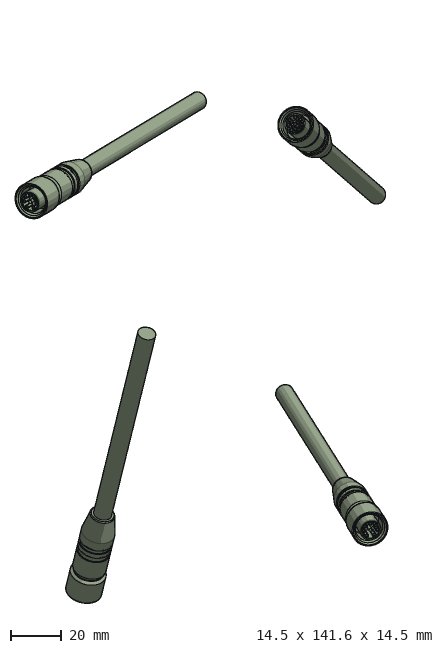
import cadquery as cq
import math

length = 141.6
front_y = -length / 2

nut_diameter = 14.5
nut_rear_diameter = 12.2
nut_front = 1.4
nut_chamfer_start = 11.3
nut_rear = 12.3
bore_mouth_diameter = 13.5
bore_lip_diameter = 12.2
bore_lip_length = 0.5
bore_diameter = 11.0
bore_taper_length = 1.5
bore_depth = 8.5

insert_diameter = 8.4
insert_bevel_length = 0.5
insert_bevel = 0.1
face_recess_diameter = 7.0
face_recess = 0.4
contact_circle_radius = 2.76
contact_hole_diameter = 1.4
centre_hole_diameter = 1.3
contact_pin_diameter = 0.9
contact_depth = 4.2
contact_recess = 0.7
contact_angles = [90, 143, 184, 237, 303, 356, 37]

grip_diameter = 13.5
groove_diameter = 12.5
grip_front = 12.9
grip_front_bevel_length = 1.3
grip_front_bevel = 0.4
grip_grooves = [(23.2, 25.5), (27.6, 29.5)]
grip_taper_start = 33.5
grip_taper_end_diameter = 9.9
grip_end_bevel = 0.4
grip_rear = 43.3
cable_diameter = 7.2


def revolve_profile(stations):
    """Revolve (station, diameter) pairs about the cable axis into a solid."""
    points = [(diameter / 2, front_y + station) for station, diameter in stations]
    points = [(0, points[0][1])] + points + [(0, points[-1][1])]
    return cq.Workplane("XY").polyline(points).close().revolve(360, (0, 0, 0), (0, 1, 0))


def cylinder(start, end, diameter, x=0.0, z=0.0):
    """Cylinder along Y between two stations."""
    plane = cq.Plane(origin=(x, front_y + start, z), xDir=(1, 0, 0), normal=(0, 1, 0))
    return cq.Workplane(plane).circle(diameter / 2).extrude(end - start)


def make_nut():
    body = revolve_profile([
        (nut_front, nut_diameter),
        (nut_chamfer_start, nut_diameter),
        (nut_rear, nut_rear_diameter),
    ])
    bore = revolve_profile([
        (nut_front, bore_mouth_diameter),
        (nut_front + bore_lip_length, bore_lip_diameter),
        (nut_front + bore_taper_length, bore_diameter),
        (nut_front + bore_depth, bore_diameter),
    ])
    return body.cut(bore)


def make_insert():
    insert = revolve_profile([
        (0, insert_diameter - 2 * insert_bevel),
        (insert_bevel_length, insert_diameter),
        (grip_front + grip_front_bevel_length, insert_diameter),
    ])
    insert = insert.cut(cylinder(0, face_recess, face_recess_diameter))
    insert = insert.cut(cylinder(0, contact_depth, centre_hole_diameter))
    for angle in contact_angles:
        x = contact_circle_radius * math.cos(math.radians(angle))
        z = contact_circle_radius * math.sin(math.radians(angle))
        insert = insert.cut(cylinder(0, contact_depth, contact_hole_diameter, x, z))
        insert = insert.union(cylinder(contact_recess, contact_depth, contact_pin_diameter, x, z))
    return insert


def make_grip():
    stations = [
        (grip_front, grip_diameter - 2 * grip_front_bevel),
        (grip_front + grip_front_bevel_length, grip_diameter),
    ]
    for start, end in grip_grooves:
        stations += [
            (start, grip_diameter),
            (start, groove_diameter),
            (end, groove_diameter),
            (end, grip_diameter),
        ]
    stations += [
        (grip_taper_start, grip_diameter),
        (grip_rear - grip_end_bevel, grip_taper_end_diameter),
        (grip_rear, grip_taper_end_diameter - 2 * grip_end_bevel),
        (grip_rear, cable_diameter),
        (length, cable_diameter),
    ]
    return revolve_profile(stations)


result = make_nut().union(make_insert()).union(make_grip())